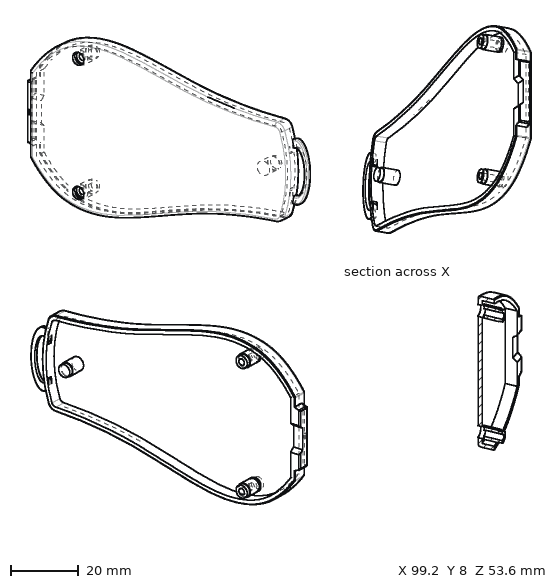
import cadquery as cq
import math


overall_length = 99.2
overall_width = 53.58

shell_depth = 5.4
wall = 1.5
outer_edge_radius = 1.1
rim_chamfer = 0.25

flat_end_half_width = 13.5
neck_corner_x = 90.1
neck_half_width = 15.5
belly_x = 23.4
half_width = overall_width / 2
side_points = [
    (4.0, 18.45),
    (10.8, 23.8),
    (belly_x, half_width),
    (38.0, 24.75),
    (61.1, 18.7),
    (77.3, 16.2),
    (neck_corner_x, neck_half_width),
]
shell_length = 93.05
flat_end_corner_radius = 0.5
neck_corner_radius = 3.0

screw_x = 17.6
screw_z = 21.0
locating_pin_x = screw_x + 65.3
pin_diameter = 4.5
pin_tip_diameter = 4.1
pin_height = 2.6
pin_tip_length = 1.25
screw_diameter = 2.0
screw_head_diameter = 4.0
screw_head_depth = 2.0

tab_length = 1.85
tab_depth = 4.0
tab_half_width = 9.7
tab_root_half_width = 10.35
tab_flank_sag = 0.12
tab_chamfer = 0.45
nose_chamfer_length = 0.3
dimple_x = -1.0
dimple_length = 0.75
dimple_width = 1.5
dimple_depth = 0.5

notch_depth = 1.4
notch_bottom_half_width = 3.5
notch_top_half_width = 4.7

loop_center_x = 92.9
loop_start_x = 90.8
loop_reach = overall_length - tab_length
loop_half_width = 10.3
loop_opening_reach = 95.95
loop_opening_half_width = 7.55
loop_top = -0.3
loop_thickness = 1.4
loop_edge_radius = 0.4

tab_overlap = 0.5


def plane_at(y):
    """Sketch plane with axes X and Z at height y; extruding goes toward the outer face (-Y)."""
    return cq.Workplane("XZ", origin=(0, y, 0))


def cylinder(x, z, diameter, y_low, y_high):
    """Cylinder along Y between two heights."""
    return plane_at(y_high).center(x, z).circle(diameter / 2).extrude(y_high - y_low)


def plan_block():
    """Full-depth block with the plan outline and rounded vertical corners."""
    neck_end_rise = shell_length - neck_corner_x
    neck_end_radius = (neck_end_rise**2 + neck_half_width**2) / (2 * neck_end_rise)
    neck_end_angle = math.asin(neck_half_width / neck_end_radius)
    neck_end_center_x = shell_length - neck_end_radius
    neck_end_middle = (
        neck_end_center_x + neck_end_radius * math.cos(neck_end_angle / 2),
        neck_end_radius * math.sin(neck_end_angle / 2),
    )

    half = (
        plane_at(0)
        .lineTo(0, flat_end_half_width)
        .spline(side_points, includeCurrent=True)
        .threePointArc(neck_end_middle, (shell_length, 0))
        .close()
        .extrude(shell_depth)
    )
    block = half.union(half.mirror("XY")).clean()
    block = block.edges(corner_edges(0, flat_end_half_width)).fillet(flat_end_corner_radius)
    return block.edges(corner_edges(neck_corner_x, neck_half_width)).fillet(neck_corner_radius)


def corner_edges(x, z):
    """Selector for the pair of full-depth vertical edges at (x, +z) and (x, -z)."""
    reach = 0.1
    return cq.selectors.BoxSelector(
        (x - reach, -shell_depth, z - reach), (x + reach, 0, z + reach)
    ) + cq.selectors.BoxSelector((x - reach, -shell_depth, -z - reach), (x + reach, 0, -z + reach))


def shell():
    """Plan block hollowed from the rim side, with a round outer edge and a broken rim edge."""
    block = plan_block()
    cavity = block.cut(block.faces(">Y").shell(-wall))
    body = block.faces("<Y").edges().fillet(outer_edge_radius)
    body = body.faces(">Y").edges().chamfer(rim_chamfer)
    return body.cut(cavity)


def pin(x, z):
    """Stepped pin rising from the cavity floor."""
    base = cylinder(x, z, pin_diameter, -shell_depth + wall / 2, pin_height - pin_tip_length)
    tip = cylinder(x, z, pin_tip_diameter, pin_height - pin_tip_length, pin_height)
    return base.union(tip)


def screw_hole(x, z):
    """Through hole with a counterbore in the outer face."""
    hole = cylinder(x, z, screw_diameter, -shell_depth, pin_height)
    head = cylinder(x, z, screw_head_diameter, -shell_depth, -shell_depth + screw_head_depth)
    return hole.union(head)


def tab():
    """Latch tab with flared sides, a chamfered nose and underside, and a small dimple underneath."""
    flank_middle = (-tab_length / 2, (tab_half_width + tab_root_half_width) / 2 - tab_flank_sag)
    half = (
        plane_at(0)
        .moveTo(-tab_length, 0)
        .lineTo(-tab_length, tab_half_width)
        .threePointArc(flank_middle, (0, tab_root_half_width))
        .lineTo(tab_overlap, tab_root_half_width)
        .lineTo(tab_overlap, 0)
        .close()
        .extrude(tab_depth)
    )
    block = half.union(half.mirror("XY")).clean()
    nose_face = block.faces("<X").val()
    nose = block.newObject([block.val().chamfer(tab_chamfer, nose_chamfer_length, nose_face.Edges())])
    nose = nose.faces("<Y").edges("not |Z").chamfer(tab_chamfer)
    dimple = cq.Workplane().box(dimple_length, dimple_depth, dimple_width, centered=(True, False, True))
    return nose.cut(dimple.translate((dimple_x, -tab_depth, 0)))


def notch():
    """Trapezoidal cutter through the tab and the flat end wall, open at the rim."""
    return (
        cq.Workplane("YZ", origin=(-tab_length, 0, 0))
        .polyline([
            (0, notch_top_half_width),
            (-notch_depth, notch_bottom_half_width),
            (-notch_depth, -notch_bottom_half_width),
            (0, -notch_top_half_width),
        ])
        .close()
        .extrude(tab_length + wall)
    )


def loop():
    """Half-elliptic ring on the neck end, rounded along its edges on the -Y side."""
    ring = (
        plane_at(loop_top)
        .center(loop_center_x, 0)
        .ellipse(loop_reach - loop_center_x, loop_half_width)
        .ellipse(loop_opening_reach - loop_center_x, loop_opening_half_width)
        .extrude(loop_thickness)
    )
    ring = ring.faces("<Y").edges().fillet(loop_edge_radius)
    keep_length = loop_reach - loop_start_x
    keep = cq.Workplane().box(keep_length, shell_depth, 2 * loop_half_width, centered=(False, True, True))
    return ring.intersect(keep.translate((loop_start_x, 0, 0)))


result = shell()
result = result.union(tab()).cut(notch())
for x, z in [(screw_x, screw_z), (screw_x, -screw_z), (locating_pin_x, 0)]:
    result = result.union(pin(x, z))
for z in (screw_z, -screw_z):
    result = result.cut(screw_hole(screw_x, z))
result = result.union(loop())